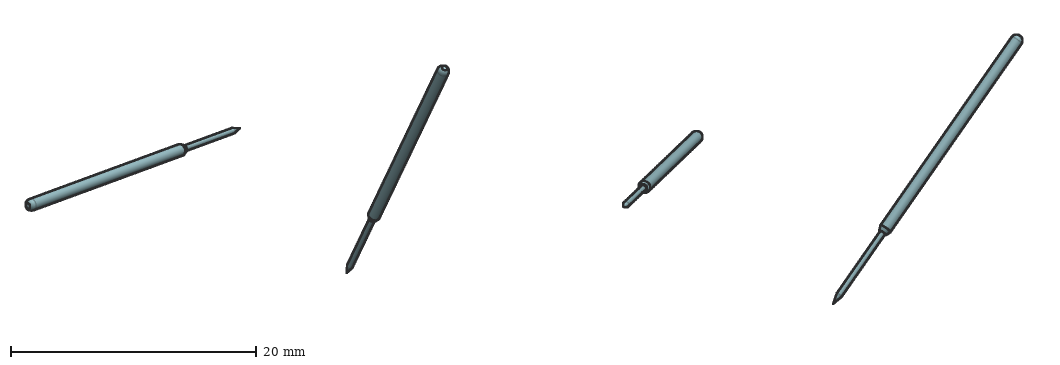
import cadquery as cq
import math

total_length = 27.3
barrel_diameter = 1.0
end_flat_diameter = 0.46
plunger_diameter = 0.5
tip_angle = 30
plunger_reach = 7.27
shoulder_diameter = 0.68
shoulder_length = 0.4

barrel_radius = barrel_diameter / 2
plunger_radius = plunger_diameter / 2
shoulder_radius = shoulder_diameter / 2
end_flat_radius = end_flat_diameter / 2

barrel_front = total_length - plunger_reach
shoulder_start = barrel_front - shoulder_length
tip_length = plunger_radius / math.tan(math.radians(tip_angle / 2))
tip_base = total_length - tip_length

end_round_length = math.sqrt(barrel_radius**2 - end_flat_radius**2)
end_arc_middle_angle = math.acos(end_flat_radius / barrel_radius) / 2
end_arc_middle = (
    barrel_radius * math.cos(end_arc_middle_angle),
    end_round_length - barrel_radius * math.sin(end_arc_middle_angle),
)


def half_profile():
    """Half section of the pin: X is the radius, Y the position on the axis."""
    return (
        cq.Workplane("XY")
        .lineTo(end_flat_radius, 0)
        .threePointArc(end_arc_middle, (barrel_radius, end_round_length))
        .lineTo(barrel_radius, shoulder_start)
        .lineTo(shoulder_radius, barrel_front)
        .lineTo(plunger_radius, barrel_front)
        .lineTo(plunger_radius, tip_base)
        .lineTo(0, total_length)
        .close()
    )


result = half_profile().revolve(360, (0, 0, 0), (0, 1, 0))